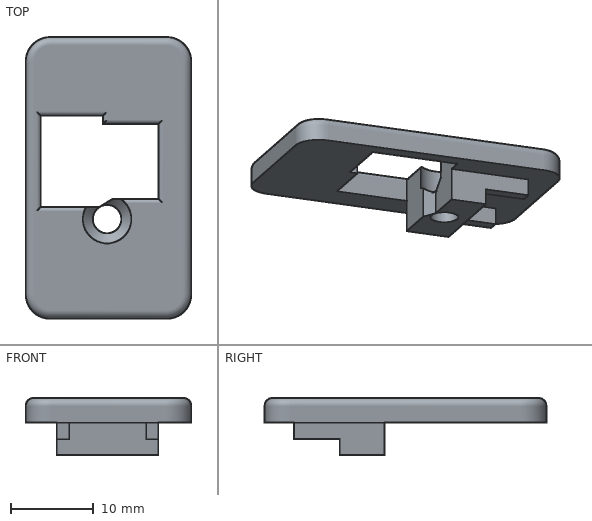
import cadquery as cq

length = 34.0
width = 20.0
plate_thickness = 3.0
corner_radius = 3.0
rim_radius = 1.0

window_left = -8.15
window_right = 6.02
window_back = 7.48
window_front = -3.5
window_step = 1.0
back_step_x = -0.68
ramp_start_x = -1.1
ramp_end_x = 0.5
window_edge_radius = 0.5
selection_margin = 0.05

block_left = -6.25
block_right = window_right
block_front = -7.95
block_height = 3.9

arm_front = -13.45
arm_width = 1.5
arm_height = 2.0

hole_x = -0.17
hole_y = -4.95
hole_diameter = 3.4
head_diameter = 5.85
seat_top_z = 0.1
seat_depth = (head_diameter - hole_diameter) / 2

window_front_right = window_front + window_step
window_back_right = window_back - window_step


def box_between(x_min, x_max, y_min, y_max, z_min, z_max):
    size = (x_max - x_min, y_max - y_min, z_max - z_min)
    return cq.Workplane("XY").box(*size, centered=False).translate((x_min, y_min, z_min))


def make_plate():
    plate = cq.Workplane("XY").rect(width, length).extrude(plate_thickness)
    return plate.edges("|Z").fillet(corner_radius).faces(">Z").edges().fillet(rim_radius)


def make_window():
    """Straight cutter through plate and block."""
    outline = [
        (window_left, window_front),
        (ramp_start_x, window_front),
        (ramp_end_x, window_front_right),
        (window_right, window_front_right),
        (window_right, window_back_right),
        (back_step_x, window_back_right),
        (back_step_x, window_back),
        (window_left, window_back),
    ]
    return cq.Workplane("XY").workplane(offset=-block_height).polyline(outline).close().extrude(
        block_height + plate_thickness
    )


def make_block():
    block = box_between(block_left, block_right, block_front, window_front_right, -block_height, 0)
    for arm_left in (block_left, block_right - arm_width):
        arm = box_between(arm_left, arm_left + arm_width, arm_front, block_front, -arm_height, 0)
        block = block.union(arm)
    return block


def make_screw_hole():
    """Revolved cutter: head clearance, conical seat, then the through hole."""
    hole_radius = hole_diameter / 2
    head_radius = head_diameter / 2
    profile = [
        (0, -block_height),
        (hole_radius, -block_height),
        (hole_radius, seat_top_z - seat_depth),
        (head_radius, seat_top_z),
        (head_radius, plate_thickness),
        (0, plate_thickness),
    ]
    cutter = cq.Workplane("XZ").polyline(profile).close().revolve(360, (0, 0, 0), (0, 1, 0))
    return cutter.translate((hole_x, hole_y, 0))


plate = make_plate().cut(make_window())
window_top_edges = plate.faces(">Z").wires().edges(
    cq.selectors.BoxSelector(
        (window_left - selection_margin, window_front - selection_margin, plate_thickness - selection_margin),
        (window_right + selection_margin, window_back + selection_margin, plate_thickness + selection_margin),
    )
)
plate = window_top_edges.fillet(window_edge_radius)
block = make_block().cut(make_window())
result = plate.union(block).cut(make_screw_hole())